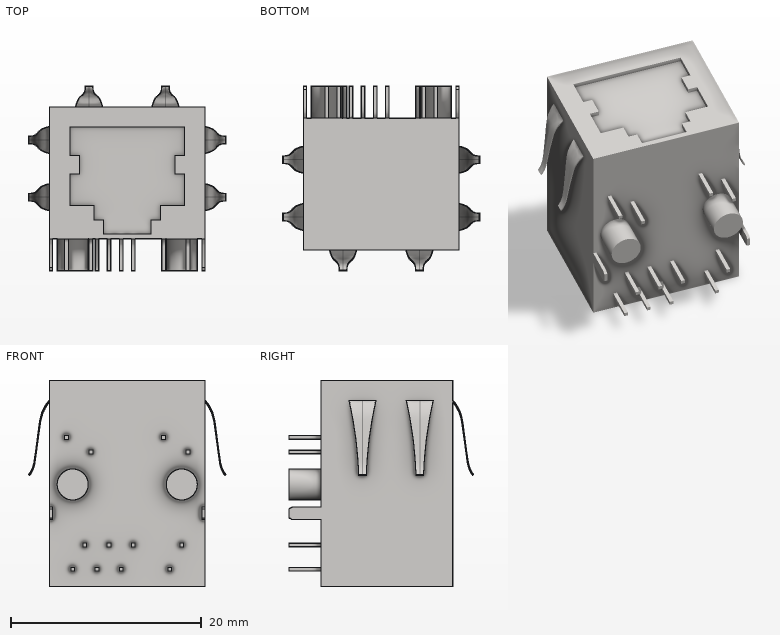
import cadquery as cq


body_width = 16.3
body_depth = 13.83
body_height = 21.59

opening_half_width = 6.0
opening_front_y = 1.99
opening_back_y = 11.74
opening_depth = 0.5
rib_width = 1.0
rib_front_y = 6.78
rib_back_y = 8.76
corner_block_width = 2.54
corner_block_back_y = 3.52
latch_slot_half_width = 2.5
latch_slot_front_y = 0.54

tail_length = 3.335

pin_size = 0.4
pin_pitch = 1.27
lower_row_z = 1.81
upper_row_z = lower_row_z + 2 * pin_pitch
lower_led_row_z = 14.09
upper_led_row_z = 15.63
pin_rows = [
    (lower_row_z, [-4.5 * pin_pitch, -2.5 * pin_pitch, -0.5 * pin_pitch, 3.5 * pin_pitch]),
    (upper_row_z, [-3.5 * pin_pitch, -1.5 * pin_pitch, 0.5 * pin_pitch, 4.5 * pin_pitch]),
    (lower_led_row_z, [-3 * pin_pitch, 5 * pin_pitch]),
    (upper_led_row_z, [-5 * pin_pitch, 3 * pin_pitch]),
]

peg_diameter = 3.25
peg_x = 4.5 * pin_pitch
peg_z = 10.69

blade_thickness = 0.33
blade_height = 1.35
blade_z = 7.67
blade_tip_length = 0.35
blade_tip_drop = 0.2

finger_reach = 2.175
finger_shift = 0.1
finger_root_z = body_height - 2.1
finger_tip_z = body_height - 9.85
finger_root_half_width = 1.42
finger_middle_half_width = 0.63
finger_tip_half_width = 0.4
finger_middle_z = body_height - 6.68
finger_embed = 0.3
finger_embed_rise = 0.15
side_finger_ys = [body_depth - 3.46, body_depth - 9.46]
back_finger_xs = [-4.0, 4.0]


def make_housing():
    return cq.Workplane("XY").box(body_width, body_depth, body_height, centered=(True, False, False))


def make_opening():
    rib_x = opening_half_width - rib_width
    block_x = opening_half_width - corner_block_width
    right_half = [
        (latch_slot_half_width, latch_slot_front_y),
        (latch_slot_half_width, opening_front_y),
        (block_x, opening_front_y),
        (block_x, corner_block_back_y),
        (opening_half_width, corner_block_back_y),
        (opening_half_width, rib_front_y),
        (rib_x, rib_front_y),
        (rib_x, rib_back_y),
        (opening_half_width, rib_back_y),
        (opening_half_width, opening_back_y),
    ]
    left_half = [(-x, y) for x, y in reversed(right_half)]
    floor = cq.Workplane("XY").workplane(offset=body_height - opening_depth)
    return floor.polyline(right_half + left_half).close().extrude(opening_depth)


def make_pins():
    points = [(x, z) for z, xs in pin_rows for x in xs]
    return cq.Workplane("XZ").pushPoints(points).rect(pin_size, pin_size).extrude(tail_length)


def make_pegs():
    points = [(-peg_x, peg_z), (peg_x, peg_z)]
    return cq.Workplane("XZ").pushPoints(points).circle(peg_diameter / 2).extrude(tail_length)


def make_blade():
    """Ground blade with a tapered tip, on the -X side."""
    half = blade_height / 2
    tip_half = half - blade_tip_drop
    shoulder_y = blade_tip_length - tail_length
    outline = [
        (0, blade_z - half),
        (shoulder_y, blade_z - half),
        (-tail_length, blade_z - tip_half),
        (-tail_length, blade_z + tip_half),
        (shoulder_y, blade_z + half),
        (0, blade_z + half),
    ]
    side = cq.Workplane("YZ").workplane(offset=-body_width / 2)
    return side.polyline(outline).close().extrude(blade_thickness)


def make_finger():
    """Spring finger reaching towards +X from a wall at X = 0, centred on Y = 0."""
    outer_face = [
        (-finger_embed, finger_root_z + finger_embed_rise),
        (0, finger_root_z),
        (0.42, finger_root_z - 0.5),
        (0.78, finger_root_z - 1.2),
        (1.12, finger_root_z - 2.75),
        (1.5, finger_root_z - 5.65),
        (1.85, finger_root_z - 7.2),
        (finger_reach, finger_tip_z),
    ]
    inner_face = [(x - finger_shift, z - finger_shift) for x, z in reversed(outer_face)]
    sheet = (
        cq.Workplane("XZ")
        .moveTo(*outer_face[0])
        .spline(outer_face[1:], includeCurrent=True)
        .lineTo(*inner_face[0])
        .spline(inner_face[1:], includeCurrent=True)
        .close()
        .extrude(2 * finger_root_half_width, both=True)
    )
    bottom_z = finger_tip_z - finger_shift
    top_z = finger_root_z
    wall_margin = 1.0
    front_shape = (
        cq.Workplane("YZ")
        .workplane(offset=-wall_margin)
        .moveTo(-finger_tip_half_width, bottom_z)
        .lineTo(finger_tip_half_width, bottom_z)
        .threePointArc((finger_middle_half_width, finger_middle_z), (finger_root_half_width, top_z))
        .lineTo(finger_root_half_width, body_height)
        .lineTo(-finger_root_half_width, body_height)
        .lineTo(-finger_root_half_width, top_z)
        .threePointArc((-finger_middle_half_width, finger_middle_z), (-finger_tip_half_width, bottom_z))
        .close()
        .extrude(finger_reach + 2 * wall_margin)
    )
    return sheet.intersect(front_shape)


result = make_housing().cut(make_opening())
result = result.union(make_pins()).union(make_pegs())

blade = make_blade()
result = result.union(blade).union(blade.mirror("YZ"))

finger = make_finger()
for y in side_finger_ys:
    side_finger = finger.translate((body_width / 2, y, 0))
    result = result.union(side_finger).union(side_finger.mirror("YZ"))
back_finger = finger.rotate((0, 0, 0), (0, 0, 1), 90)
for x in back_finger_xs:
    result = result.union(back_finger.translate((x, body_depth, 0)))